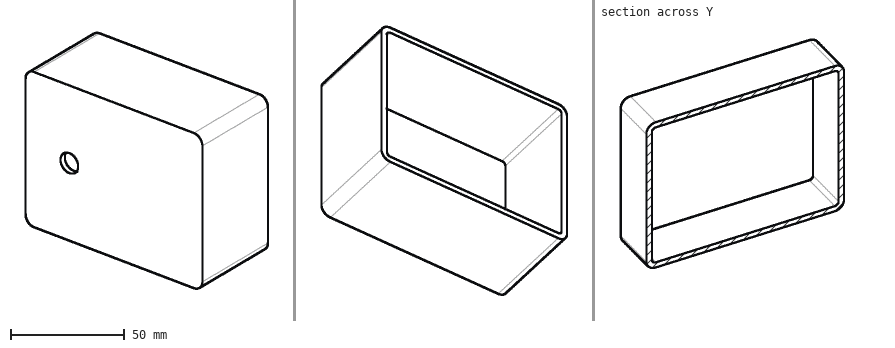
import cadquery as cq

length = 99.6
depth = 46.0
height = 77.5

wall = 3.0

cavity_corner_diameter = 3.7
cavity_corner_radius = cavity_corner_diameter / 2
corner_radius = cavity_corner_radius + wall

hole_diameter = 10.0
hole_offset_x = -25.1


def rounded_block(size_x, size_y, size_z, radius):
    """Block centred on the origin, with the edges along Y rounded."""
    return cq.Workplane("XY").box(size_x, size_y, size_z).edges("|Y").fillet(radius)


outer = rounded_block(length, depth, height, corner_radius)
cavity = rounded_block(
    length - 2 * wall, depth, height - 2 * wall, cavity_corner_radius
).translate((0, wall, 0))
box = outer.cut(cavity)

hole = (
    cq.Workplane("XZ")
    .center(hole_offset_x, 0)
    .circle(hole_diameter / 2)
    .extrude(depth)
)

result = box.cut(hole)